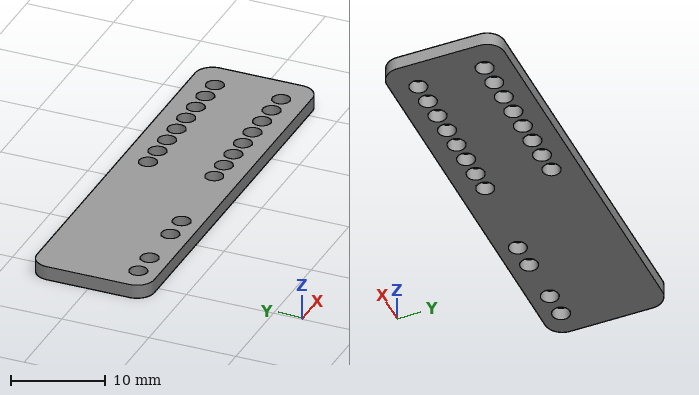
import cadquery as cq

BOARD_LENGTH = 46.0
BOARD_WIDTH = 13.5
BOARD_THICKNESS = 1.6
CORNER_RADIUS = 2.0

HOLE_DIAMETER = 2.0

PIN_PITCH = 2.54
ROW_COUNT = 2
PINS_PER_ROW = 8
ROW_SPACING = 3 * PIN_PITCH
FIRST_PIN_X = 24.67
LOWER_ROW_Y = 2.93

WIRE_PAIR_PITCH = 3.0
WIRE_PAIR_STARTS_X = (3.04, 11.54)
WIRE_HOLE_Y = 2.3


def make_board():
    """Flat rectangular board with rounded corners."""
    board = cq.Workplane("XY").box(BOARD_LENGTH, BOARD_WIDTH, BOARD_THICKNESS, centered=False)
    return board.edges("|Z").fillet(CORNER_RADIUS)


def pin_hole_centres():
    """Centres of the pin holes in both rows."""
    return [
        (FIRST_PIN_X + pin * PIN_PITCH, LOWER_ROW_Y + row * ROW_SPACING)
        for row in range(ROW_COUNT)
        for pin in range(PINS_PER_ROW)
    ]


def wire_hole_centres():
    """Centres of the wire holes, pair by pair."""
    return [
        (start_x + offset, WIRE_HOLE_Y)
        for start_x in WIRE_PAIR_STARTS_X
        for offset in (0, WIRE_PAIR_PITCH)
    ]


def make_hole_cutters(centres):
    """Round cutters that pass through the full board thickness."""
    return cq.Workplane("XY").pushPoints(centres).circle(HOLE_DIAMETER / 2).extrude(BOARD_THICKNESS)


result = make_board().cut(make_hole_cutters(pin_hole_centres() + wire_hole_centres()))